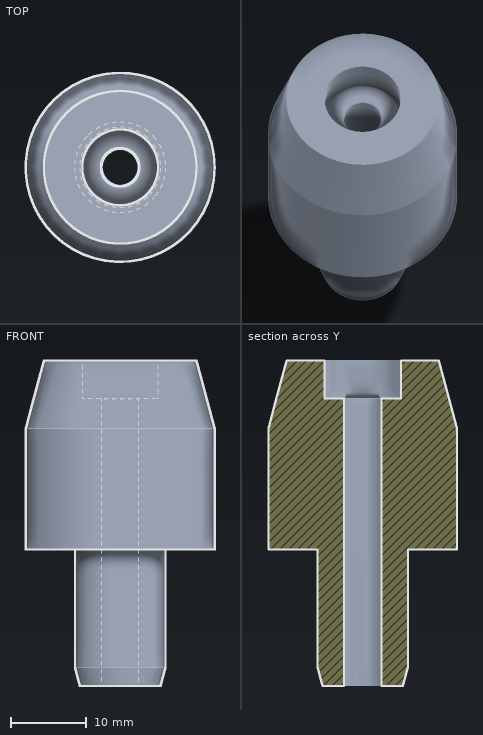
import cadquery as cq
import math

total_height = 43.0
shank_length = 18.0
head_diameter = 25.0
shank_diameter = 12.0

taper_angle = math.radians(15)
nose_height = 9.0
tip_height = 2.5

counterbore_diameter = 10.0
counterbore_depth = 5.0
bore_diameter = 4.9
bore_chamfer = 0.108

head_radius = head_diameter / 2
shank_radius = shank_diameter / 2
nose_radius = head_radius - nose_height * math.tan(taper_angle)
tip_radius = shank_radius - tip_height * math.tan(taper_angle)


def revolve_profile(profile):
    """Revolve a closed half profile of (radius, height) points about Z."""
    return cq.Workplane("XZ").polyline(profile).close().revolve(360, (0, 0, 0), (0, 1, 0))


def turned_body():
    """Solid outer shape: tapered tip, shank, head and tapered nose."""
    profile = [
        (0, 0),
        (tip_radius, 0),
        (shank_radius, tip_height),
        (shank_radius, shank_length),
        (head_radius, shank_length),
        (head_radius, total_height - nose_height),
        (nose_radius, total_height),
        (0, total_height),
    ]
    return revolve_profile(profile)


def stepped_bore():
    """Through bore with a chamfered mouth at the counterbore floor."""
    bore_radius = bore_diameter / 2
    mouth_radius = bore_radius + bore_chamfer
    counterbore_radius = counterbore_diameter / 2
    floor_height = total_height - counterbore_depth
    profile = [
        (0, 0),
        (bore_radius, 0),
        (bore_radius, floor_height - bore_chamfer),
        (mouth_radius, floor_height),
        (counterbore_radius, floor_height),
        (counterbore_radius, total_height),
        (0, total_height),
    ]
    return revolve_profile(profile)


result = turned_body().cut(stepped_bore())